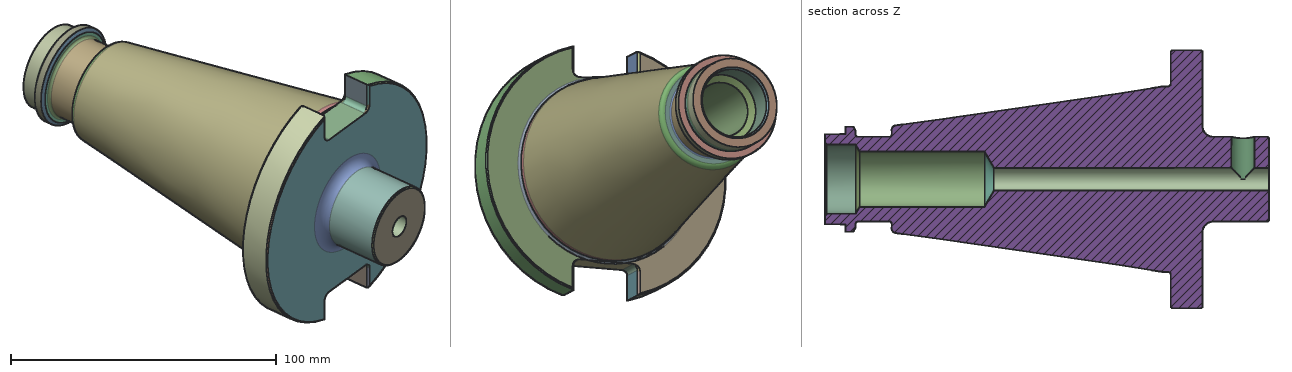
import cadquery as cq
import math

GAUGE_RADIUS = 69.85 / 2
TAPER_SLOPE = 7 / 48
SHANK_LENGTH = 126.8
X_TAIL = -SHANK_LENGTH

TAIL_RADIUS = 17.0
SEAT_RADIUS = 17.1
SEAT_START = 5.6
SEAT_RAMP = 0.7
COLLAR_RADIUS = 19.8
COLLAR_START = 7.7
COLLAR_END = 11.5
COLLAR_BEVEL_LENGTH = 0.8
COLLAR_BEVEL_DEPTH = 1.5
NECK_RADIUS = 16.0
COLLAR_ROOT_FILLET = 1.0
NECK_END = 25.0
NECK_ROOT_FILLET = 0.5
TAPER_NOSE_FILLET = 2.0

FLANGE_RADIUS = 97.3 / 2
FLANGE_START = 3.2
FLANGE_THICKNESS = 12.0
FLANGE_END = FLANGE_START + FLANGE_THICKNESS
FLANGE_CHAMFER = 0.5
FLANGE_ROOT_FILLET = 1.0

SLOT_WIDTH = 25.7
SLOT_FLOOR_HEIGHT = 35.1
SLOT_CORNER_RADIUS = 2.0
SLOT_CHAMFER = 0.85

SPIGOT_RADIUS = 16.0
SPIGOT_LENGTH = 25.0
X_END = FLANGE_END + SPIGOT_LENGTH
SPIGOT_FILLET = 4.0
SPIGOT_CHAMFER = 0.5
SCREW_DIAMETER = 8.5
SCREW_FROM_END = 9.8

BORE_CHAMFER = 0.7
COUNTERBORE_RADIUS = 13.0
COUNTERBORE_DEPTH = 11.5
CORE_RADIUS = 20.75 / 2
CORE_DEPTH = 60.0
THROUGH_RADIUS = 4.2
SHOULDER_ANGLE = 60


def revolve_profile(points):
    """Revolve a closed (x, radius) outline, given by its corners, about the X axis."""
    return cq.Workplane("XZ").polyline(points).close().revolve(360, (0, 0, 0), (1, 0, 0))


def ring_edges(body, x, radius):
    """Circular edges of the given radius that lie in the plane at x."""
    tolerance = 0.01

    def on_ring(edge):
        return abs(edge.Center().x - x) < tolerance and abs(edge.radius() - radius) < tolerance

    return body.edges("%CIRCLE").filter(on_ring)


def cone_length(large_radius, small_radius):
    """Axial length of an internal cone between the two radii."""
    return (large_radius - small_radius) / math.tan(math.radians(SHOULDER_ANGLE))


def make_body():
    x_seat = X_TAIL + SEAT_START
    x_collar = X_TAIL + COLLAR_START
    x_collar_end = X_TAIL + COLLAR_END
    x_nose = X_TAIL + NECK_END
    nose_radius = GAUGE_RADIUS + TAPER_SLOPE * x_nose
    body = revolve_profile([
        (X_TAIL, 0),
        (X_TAIL, TAIL_RADIUS),
        (x_seat, TAIL_RADIUS),
        (x_seat + SEAT_RAMP, SEAT_RADIUS),
        (x_collar, SEAT_RADIUS),
        (x_collar, COLLAR_RADIUS),
        (x_collar_end - COLLAR_BEVEL_LENGTH, COLLAR_RADIUS),
        (x_collar_end, COLLAR_RADIUS - COLLAR_BEVEL_DEPTH),
        (x_collar_end, NECK_RADIUS),
        (x_nose, NECK_RADIUS),
        (x_nose, nose_radius),
        (0, GAUGE_RADIUS),
        (FLANGE_START, GAUGE_RADIUS),
        (FLANGE_START, FLANGE_RADIUS),
        (FLANGE_END, FLANGE_RADIUS),
        (FLANGE_END, SPIGOT_RADIUS),
        (X_END, SPIGOT_RADIUS),
        (X_END, 0),
    ])
    fillets = [
        (x_collar_end, NECK_RADIUS, COLLAR_ROOT_FILLET),
        (x_nose, NECK_RADIUS, NECK_ROOT_FILLET),
        (x_nose, nose_radius, TAPER_NOSE_FILLET),
        (FLANGE_START, GAUGE_RADIUS, FLANGE_ROOT_FILLET),
        (FLANGE_END, SPIGOT_RADIUS, SPIGOT_FILLET),
    ]
    chamfers = [
        (FLANGE_START, FLANGE_RADIUS, FLANGE_CHAMFER),
        (FLANGE_END, FLANGE_RADIUS, FLANGE_CHAMFER),
        (X_END, SPIGOT_RADIUS, SPIGOT_CHAMFER),
    ]
    for x, radius, size in fillets:
        body = ring_edges(body, x, radius).fillet(size)
    for x, radius, size in chamfers:
        body = ring_edges(body, x, radius).chamfer(size)
    return body


def make_bore():
    entry_radius = COUNTERBORE_RADIUS + BORE_CHAMFER
    x_counterbore = X_TAIL + COUNTERBORE_DEPTH
    x_core = X_TAIL + CORE_DEPTH
    return revolve_profile([
        (X_TAIL, 0),
        (X_TAIL, entry_radius),
        (X_TAIL + BORE_CHAMFER, COUNTERBORE_RADIUS),
        (x_counterbore, COUNTERBORE_RADIUS),
        (x_counterbore + cone_length(COUNTERBORE_RADIUS, CORE_RADIUS), CORE_RADIUS),
        (x_core, CORE_RADIUS),
        (x_core + cone_length(CORE_RADIUS, THROUGH_RADIUS), THROUGH_RADIUS),
        (X_END, THROUGH_RADIUS),
        (X_END, 0),
    ])


def slot_outline(x, widening):
    """Slot section in the plane at x, open upward, with each wall moved out by widening."""
    half_width = SLOT_WIDTH / 2 + widening
    corner = SLOT_CORNER_RADIUS + widening
    half_floor = half_width - corner
    top = FLANGE_RADIUS
    wall_foot = SLOT_FLOOR_HEIGHT + corner
    arc_offset = corner * math.sqrt(0.5)
    arc_side = half_floor + arc_offset
    arc_height = wall_foot - arc_offset
    return (
        cq.Workplane("YZ", origin=(x, 0, 0))
        .moveTo(-half_width, top)
        .lineTo(-half_width, wall_foot)
        .threePointArc((-arc_side, arc_height), (-half_floor, SLOT_FLOOR_HEIGHT))
        .lineTo(half_floor, SLOT_FLOOR_HEIGHT)
        .threePointArc((arc_side, arc_height), (half_width, wall_foot))
        .lineTo(half_width, top)
        .close()
    )


def slot_flare(x_face, x_inner):
    """Slot stretch that narrows from its chamfered mouth at x_face to its plain width at x_inner."""
    mouth = slot_outline(x_face, SLOT_CHAMFER).val()
    throat = slot_outline(x_inner, 0).val()
    return cq.Workplane(cq.Solid.makeLoft([mouth, throat], True))


def make_slot():
    slot = slot_outline(FLANGE_START, 0).extrude(FLANGE_THICKNESS)
    slot = slot.union(slot_flare(FLANGE_START, FLANGE_START + SLOT_CHAMFER))
    return slot.union(slot_flare(FLANGE_END, FLANGE_END - SLOT_CHAMFER))


def make_screw_hole():
    return (
        cq.Workplane("XZ", origin=(X_END - SCREW_FROM_END, 0, 0))
        .circle(SCREW_DIAMETER / 2)
        .extrude(-SPIGOT_RADIUS)
    )


result = make_body().cut(make_bore()).cut(make_screw_hole())
for turn in (0, 180):
    result = result.cut(make_slot().rotate((0, 0, 0), (1, 0, 0), turn))